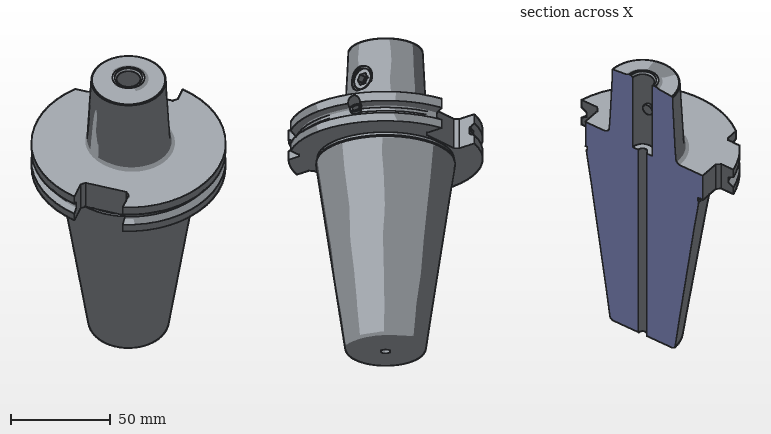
import cadquery as cq
import math

TOTAL_HEIGHT = 164.8
GAUGE_HEIGHT = 101.8
NECK_TOP_GAP = 3.1
FLANGE_THICKNESS = 16.0
FLANGE_BOTTOM = GAUGE_HEIGHT + NECK_TOP_GAP
FLANGE_TOP = FLANGE_BOTTOM + FLANGE_THICKNESS

GAUGE_RADIUS = 35.0
TAPER_SLOPE = 7 / 48
TAPER_END_RADIUS = GAUGE_RADIUS - TAPER_SLOPE * GAUGE_HEIGHT
TAPER_END_FILLET = 2.5
GAUGE_BAND = 0.7
NECK_RADIUS = 34.5
NECK_FLARE = 1.0

FLANGE_RADIUS = 48.8
CUT_CLEARANCE = 1.6
GROOVE_CENTER = FLANGE_TOP - 8.2
GROOVE_HALF_WIDTH = 3.3
GROOVE_DEPTH = 3.1
GROOVE_WALL_ANGLE = math.radians(30)
GROOVE_FILLET = 1.0

SLOT_WIDTH = 25.5
SLOT_FLOOR_BACK = 37.4
SLOT_FLOOR_FRONT = 35.5
SLOT_CORNER_CHAMFER = 2.0
NOTCH_X = -30.1
NOTCH_Y = 30.1
NOTCH_FILLET = 1.8

NOSE_BASE_RADIUS = 21.0
NOSE_END_RADIUS = 18.8
NOSE_EDGE_CHAMFER = 0.5
NOSE_FILLET = 3.0
NOSE_RIM_HEIGHT = TOTAL_HEIGHT - 1.6
COLLAR_HEIGHT = TOTAL_HEIGHT - 0.8
COLLAR_BASE_RADIUS = 10.0
COLLAR_TOP_RADIUS = 8.0

BORE_RADIUS = 6.0
BORE_DEPTH = 46.1
BORE_CHAMFER = 1.0
COOLANT_RADIUS = 2.5

SCREW_HEIGHT = TOTAL_HEIGHT - 22.0
SPOTFACE_RADIUS = 6.6
SPOTFACE_X = -18.5
SCREW_RADIUS = 5.5
SCREW_FACE_X = -18.1
SOCKET_FLATS = 5.6
SOCKET_DEPTH = 4.0
SOCKET_DRILL_RADIUS = 2.5
SOCKET_CONE_DEPTH = 1.5
SCREW_TIP_RADIUS = 3.0
SCREW_TIP_X = -4.3

PORT_ANGLE = 20.3
PORT_TILT = 30.0
PLUG_FACE_RADIUS = 45.6
PLUG_FACE_HEIGHT = FLANGE_TOP - 6.5
PORT_RADIUS = 3.1
PORT_LENGTH = 16.5
PLUG_LENGTH = 9.9
PLUG_SOCKET_RADIUS = 2.0
PLUG_SOCKET_DEPTH = 6.6


def make_shank():
    """Taper, gauge band and neck, turned about Z and overlapping the flange."""
    outline = [
        (0, 0),
        (TAPER_END_RADIUS, 0),
        (GAUGE_RADIUS, GAUGE_HEIGHT),
        (GAUGE_RADIUS, GAUGE_HEIGHT + GAUGE_BAND),
        (NECK_RADIUS, GAUGE_HEIGHT + GAUGE_BAND + NECK_FLARE),
        (NECK_RADIUS, GROOVE_CENTER),
        (0, GROOVE_CENTER),
    ]
    shank = cq.Workplane("XZ").polyline(outline).close().revolve(360, (0, 0, 0), (0, 1, 0))
    return shank.faces("<Z").edges().fillet(TAPER_END_FILLET)


def make_nose():
    """Conical nose with a crowned end face and a raised collar, filleted into a root disc."""
    root_bottom = FLANGE_TOP - NOSE_FILLET
    root_radius = NOSE_BASE_RADIUS + 2 * NOSE_FILLET
    outline = [
        (0, root_bottom),
        (root_radius, root_bottom),
        (root_radius, FLANGE_TOP),
        (NOSE_BASE_RADIUS, FLANGE_TOP),
        (NOSE_END_RADIUS, NOSE_RIM_HEIGHT - NOSE_EDGE_CHAMFER),
        (NOSE_END_RADIUS - NOSE_EDGE_CHAMFER, NOSE_RIM_HEIGHT),
        (COLLAR_BASE_RADIUS, COLLAR_HEIGHT),
        (COLLAR_TOP_RADIUS, TOTAL_HEIGHT),
        (0, TOTAL_HEIGHT),
    ]
    nose = cq.Workplane("XZ").polyline(outline).close().revolve(360, (0, 0, 0), (0, 1, 0))
    cone_foot = cq.selectors.RadiusNthSelector(-2)
    return nose.edges("%CIRCLE").edges(cone_foot).fillet(NOSE_FILLET)


def make_flange():
    """Flange disc with the V-groove, drive slots and orientation notch."""
    flange = (
        cq.Workplane("XY").workplane(offset=FLANGE_BOTTOM).circle(FLANGE_RADIUS).extrude(FLANGE_THICKNESS)
    )
    return flange.cut(make_groove()).cut(make_slots()).cut(make_notch())


def make_groove():
    """Ring that cuts the V-groove, with rounded floor corners."""
    floor_radius = FLANGE_RADIUS - GROOVE_DEPTH
    floor_half_width = GROOVE_HALF_WIDTH - GROOVE_DEPTH * math.tan(GROOVE_WALL_ANGLE)
    outline = [
        (floor_radius, GROOVE_CENTER - floor_half_width),
        (FLANGE_RADIUS, GROOVE_CENTER - GROOVE_HALF_WIDTH),
        (FLANGE_RADIUS + CUT_CLEARANCE, GROOVE_CENTER - GROOVE_HALF_WIDTH),
        (FLANGE_RADIUS + CUT_CLEARANCE, GROOVE_CENTER + GROOVE_HALF_WIDTH),
        (FLANGE_RADIUS, GROOVE_CENTER + GROOVE_HALF_WIDTH),
        (floor_radius, GROOVE_CENTER + floor_half_width),
    ]
    ring = cq.Workplane("XZ").polyline(outline).close().revolve(360, (0, 0, 0), (0, 1, 0))
    return ring.edges(cq.selectors.RadiusNthSelector(0)).fillet(GROOVE_FILLET)


def make_slots():
    """Two drive slots with chamfered floor corners."""
    slots = cq.Workplane("XY")
    for side, floor in ((1, SLOT_FLOOR_BACK), (-1, SLOT_FLOOR_FRONT)):
        depth = FLANGE_RADIUS + CUT_CLEARANCE - floor
        slot = (
            cq.Workplane("XY", origin=(0, side * (floor + depth / 2), FLANGE_BOTTOM))
            .rect(SLOT_WIDTH, depth)
            .extrude(FLANGE_THICKNESS)
            .edges("|Z and " + ("<Y" if side > 0 else ">Y"))
            .chamfer(SLOT_CORNER_CHAMFER)
        )
        slots = slots.add(slot)
    return slots.combine()


def make_notch():
    """Corner notch on the -X, +Y side, rounded at its inner corner."""
    return (
        cq.Workplane("XY", origin=(NOTCH_X, NOTCH_Y, FLANGE_BOTTOM))
        .rect(-FLANGE_RADIUS, FLANGE_RADIUS, centered=False)
        .extrude(FLANGE_THICKNESS)
        .edges("|Z and >X and <Y")
        .fillet(NOTCH_FILLET)
    )


def make_bore():
    """Chamfered tool bore with a coolant passage running out of the small end."""
    bore_bottom = TOTAL_HEIGHT - BORE_DEPTH
    outline = [
        (0, 0),
        (COOLANT_RADIUS, 0),
        (COOLANT_RADIUS, bore_bottom),
        (BORE_RADIUS, bore_bottom),
        (BORE_RADIUS, TOTAL_HEIGHT - BORE_CHAMFER),
        (BORE_RADIUS + BORE_CHAMFER, TOTAL_HEIGHT),
        (0, TOTAL_HEIGHT),
    ]
    return cq.Workplane("XZ").polyline(outline).close().revolve(360, (0, 0, 0), (0, 1, 0))


def screw_plane(x):
    """Sketch plane across the screw axis, facing -X."""
    return cq.Workplane(cq.Plane(origin=(x, 0, SCREW_HEIGHT), xDir=(0, 0, 1), normal=(-1, 0, 0)))


def make_screw_recess():
    """Spotface, sunk screw face and hexagon socket with a drilled point, opening toward -X."""
    reach = NOSE_BASE_RADIUS + SPOTFACE_X
    spotface = screw_plane(SPOTFACE_X).circle(SPOTFACE_RADIUS).extrude(reach)
    screw_face = screw_plane(SCREW_FACE_X).circle(SCREW_RADIUS).extrude(reach)
    socket = (
        screw_plane(SCREW_FACE_X + SOCKET_DEPTH)
        .polygon(6, SOCKET_FLATS, circumscribed=True)
        .extrude(SOCKET_DEPTH)
    )
    drill_point = cq.Solid.makeCone(
        SOCKET_DRILL_RADIUS,
        0,
        SOCKET_CONE_DEPTH,
        pnt=cq.Vector(SCREW_FACE_X + SOCKET_DEPTH, 0, SCREW_HEIGHT),
        dir=cq.Vector(1, 0, 0),
    )
    return spotface.union(screw_face).union(socket).union(drill_point)


def make_screw_tip():
    """End of the clamping screw standing into the tool bore."""
    return screw_plane(SCREW_TIP_X).circle(SCREW_TIP_RADIUS).extrude(BORE_RADIUS + SCREW_TIP_X)


def port_plane():
    """Plane of the plug face, with its normal pointing outward along the port."""
    turn = math.radians(180 + PORT_ANGLE)
    tilt = math.radians(PORT_TILT)
    radial = cq.Vector(math.cos(turn), math.sin(turn), 0)
    face_center = radial * PLUG_FACE_RADIUS + cq.Vector(0, 0, PLUG_FACE_HEIGHT)
    outward = radial * math.cos(tilt) + cq.Vector(0, 0, math.sin(tilt))
    return cq.Workplane(cq.Plane(origin=face_center, normal=outward))


def add_plugged_port(flange):
    """Open the tilted port and seat a plug whose lower lip stands into the V-groove."""
    port = port_plane().circle(PORT_RADIUS).extrude(PORT_LENGTH)
    plug = port_plane().circle(PORT_RADIUS).extrude(-PLUG_LENGTH)
    socket = port_plane().circle(PLUG_SOCKET_RADIUS).extrude(-PLUG_SOCKET_DEPTH)
    return flange.cut(port).union(plug).cut(socket)


body = add_plugged_port(make_flange()).union(make_shank()).union(make_nose())
result = body.cut(make_bore()).cut(make_screw_recess()).union(make_screw_tip())